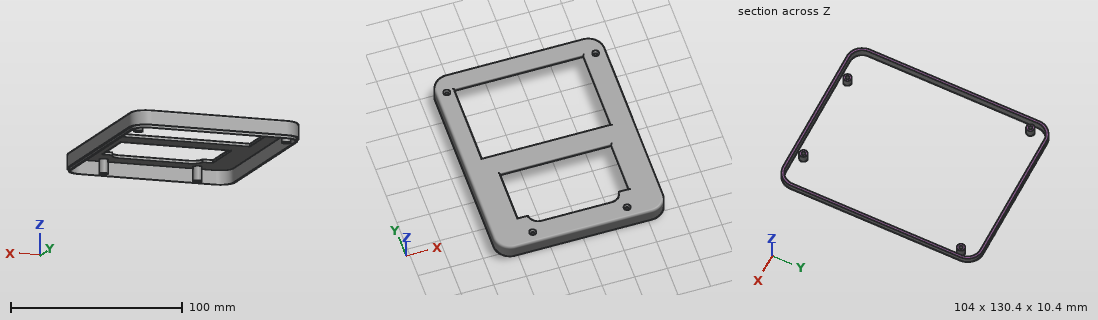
import cadquery as cq

length_x = 104.0
length_y = 130.4
height = 10.4
corner_radius = 10.0
top_edge_radius = 1.5

top_thickness = 2.0
wall_thickness = 2.0
rim_height = 1.5
rim_inset = 1.0

window_edge_radius = 0.74

upper_left = -41.5
upper_right = 39.1
upper_bottom = 0.7
upper_top = 54.2

lower_width = 69.6
lower_top = -11.6
lower_bottom = -46.5
extension_width = 57.1
extension_bottom = -52.4
extension_radius = 7.0

post_diameter = 5.2
screw_hole_diameter = 2.0
countersink_diameter = 4.2
countersink_angle = 90
upper_post_x = 45.6
upper_post_y = 52.5
lower_post_x = 29.0
lower_post_y = -58.3
post_positions = [
    (side * x, y)
    for x, y in ((upper_post_x, upper_post_y), (lower_post_x, lower_post_y))
    for side in (-1, 1)
]

top_underside = height - top_thickness


def rounded_block(inset, bottom, top):
    """Block following the cover outline, moved inwards by inset."""
    return (
        cq.Workplane("XY", origin=(0, 0, bottom))
        .rect(length_x - 2 * inset, length_y - 2 * inset)
        .extrude(top - bottom)
        .edges("|Z")
        .fillet(corner_radius - inset)
    )


def box_between(left, right, front, back):
    """Full-height box over a rectangle given by its four sides."""
    box = cq.Workplane("XY").box(right - left, back - front, height, centered=False)
    return box.translate((left, front, 0))


def make_shell():
    body = rounded_block(0, rim_height, height).faces(">Z").edges().fillet(top_edge_radius)
    rim = rounded_block(rim_inset, 0, rim_height)
    cavity = rounded_block(wall_thickness, 0, top_underside)
    return body.union(rim).cut(cavity)


def make_posts():
    return cq.Workplane("XY").pushPoints(post_positions).circle(post_diameter / 2).extrude(top_underside)


def make_upper_window():
    return box_between(
        upper_left + window_edge_radius,
        upper_right - window_edge_radius,
        upper_bottom + window_edge_radius,
        upper_top - window_edge_radius,
    )


def make_lower_window():
    half_width = lower_width / 2 - window_edge_radius
    half_extension = extension_width / 2 - window_edge_radius
    top = lower_top - window_edge_radius
    main = box_between(-half_width, half_width, lower_bottom + window_edge_radius, top)
    extension = (
        box_between(-half_extension, half_extension, extension_bottom + window_edge_radius, top)
        .edges("|Z and <Y")
        .fillet(extension_radius - window_edge_radius)
    )
    return main.union(extension)


def cut_window(body, window):
    """Cut the window through the top and round its upper rim."""
    box = window.val().BoundingBox()
    margin = window_edge_radius
    around_window = cq.selectors.BoxSelector(
        (box.xmin - margin, box.ymin - margin, height - margin),
        (box.xmax + margin, box.ymax + margin, height + margin),
    )
    return body.cut(window).faces(">Z").edges(around_window).fillet(window_edge_radius)


def drill_posts(body):
    """Countersunk screw holes down through the top and the posts."""
    return (
        body.faces(">Z")
        .workplane(origin=(0, 0, height))
        .pushPoints(post_positions)
        .cskHole(screw_hole_diameter, countersink_diameter, countersink_angle)
    )


result = make_shell().union(make_posts())
result = cut_window(result, make_upper_window())
result = cut_window(result, make_lower_window())
result = drill_posts(result)